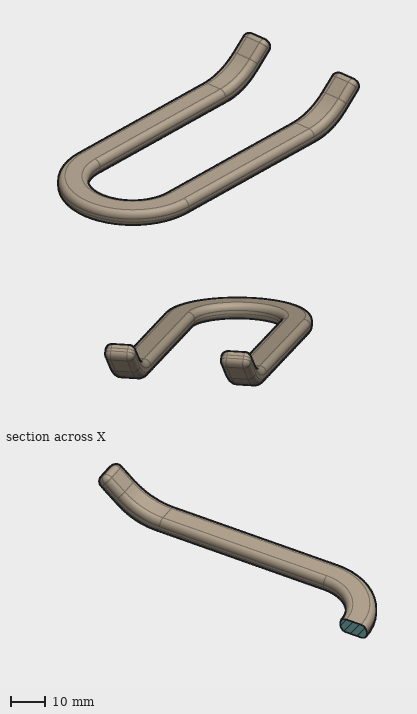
import cadquery as cq
import math

OUTER_WIDTH = 44.0
BAR_WIDTH = 9.0
BAR_THICKNESS = 5.0
EDGE_RADIUS = 2.0
BEND_ANGLE = 40.0
BEND_RADIUS = 20.0
BEND_CORNER_Y = 62.5
TIP_LENGTH = 15.0
SELECTION_MARGIN = 1.0

outer_radius = OUTER_WIDTH / 2
inner_radius = outer_radius - BAR_WIDTH
bend = math.radians(BEND_ANGLE)
lower_corner_y = BEND_CORNER_Y + BAR_THICKNESS * math.tan(bend / 2)
tip_top_y = BEND_CORNER_Y + TIP_LENGTH * math.cos(bend)
tip_top_z = BAR_THICKNESS + TIP_LENGTH * math.sin(bend)
tip_bottom_y = tip_top_y + BAR_THICKNESS * math.sin(bend)
tip_bottom_z = tip_top_z - BAR_THICKNESS * math.cos(bend)


def u_outline():
    """U shape in plan, centred on the bow, tall enough to hold the raised tips."""
    return (
        cq.Workplane("XY")
        .moveTo(-outer_radius, tip_bottom_y)
        .lineTo(-outer_radius, 0)
        .threePointArc((0, -outer_radius), (outer_radius, 0))
        .lineTo(outer_radius, tip_bottom_y)
        .lineTo(inner_radius, tip_bottom_y)
        .lineTo(inner_radius, 0)
        .threePointArc((0, -inner_radius), (-inner_radius, 0))
        .lineTo(-inner_radius, tip_bottom_y)
        .close()
        .extrude(tip_top_z)
    )


def bent_plate():
    """Flat plate whose far end bends upward, spanning the full width."""
    plate = (
        cq.Workplane("YZ")
        .polyline([
            (-outer_radius, 0),
            (lower_corner_y, 0),
            (tip_bottom_y, tip_bottom_z),
            (tip_top_y, tip_top_z),
            (BEND_CORNER_Y, BAR_THICKNESS),
            (-outer_radius, BAR_THICKNESS),
        ])
        .close()
        .extrude(outer_radius, both=True)
    )
    bend_corners = cq.selectors.BoxSelector(
        (-outer_radius, BEND_CORNER_Y - SELECTION_MARGIN, -SELECTION_MARGIN),
        (outer_radius, lower_corner_y + SELECTION_MARGIN, BAR_THICKNESS + SELECTION_MARGIN),
    )
    return plate.edges("|X").edges(bend_corners).fillet(BEND_RADIUS)


def round_edges(body):
    """Round both end faces and, along tangent chains from the legs, all long edges."""
    end_faces = body.faces(">Y")
    return end_faces.edges().add(body.edges("|Y")).fillet(EDGE_RADIUS)


result = round_edges(u_outline().intersect(bent_plate()))